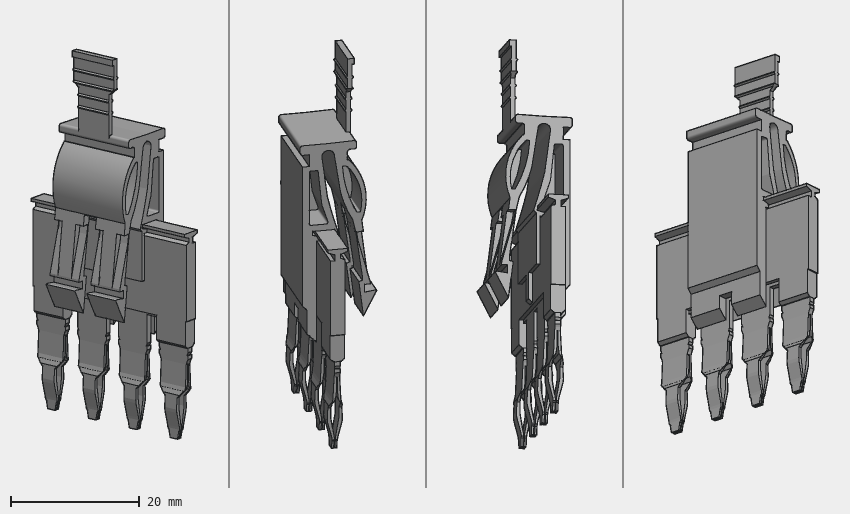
import cadquery as cq
PRONG_COUNT = 4
PITCH = 8.1
PRONG_WIDTH = 5.75
SHEET = 0.9
BURIED_STEM_WIDTH = 4.5
BARB_DEPTH = 0.215
SPRING_WIDTH = 5.0
PIN_WIDTH = 2.4
TIP_WIDTH = 1.45
LEAF_GAP = 0.2
BAR_BOTTOM = 19.1
BAR_TOP = 24.4
LEAF_TOP = 12.45

CARRIER_LENGTH = 30.5
CARRIER_BOTTOM = 19.65
LEG_BOTTOM = 15.2
BODY_BACK = 1.15
BODY_FRONT = -1.15
BODY_TOP = 32.1
HEAD_HALF = 1.6
HEAD_EDGE = 33.5
HEAD_TOP = 34.0

CLIP_WIDTH = PITCH + PRONG_WIDTH
LATCH_GAP = PITCH - PRONG_WIDTH
LATCH_GAP_TOP = 35.0
ARM_SLOT_MIDDLE = -2.75
LIP_BACK = 3.95
LIP_FRONT = -5.05
LIP_ROUND = 0.4
TOP = 48.4
TOP_FRONT = 48.5
CAP_BOTTOM = 46.8
CAP_BOTTOM_FRONT = 47.05
CAP_RECESS = 47.3
NECK_BACK = 2.5
NECK_FRONT = -3.6
NECK_ROUND = 0.35
BULGE_TOP = 45.4
PLATE_BACK = 3.6
SHOULDER = 44.85
PLATE_STEP = 2.85
PLATE_BOTTOM = 19.1
FRONT_WALL = -1.75
FRONT_WALL_BOTTOM = 24.8
TONGUE_WIDTH = 1.8
RIB_WIDTH = 2.7
LATCH_TOP = 33.25
LATCH_FOOT = 24.8
LATCH_FRONT = -7.25
POCKET_WEB = 1.2
POCKET_ROUND = 0.3

TAB_TOP = 61.0
TAB_WIDTH = 8.05
TAB_NECK_WIDTH = 6.1
TAB_BACK = -4.35
TAB_WIDE_BOTTOM = 56.05
TAB_NECK_TOP = 55.15
TAB_LIP = 0.35
TAB_LIP_HEIGHT = 1.0
RIDGE_HEIGHT = 0.25
RIDGE_TOP = 57.9
RIDGE_PITCH = 1.95
RIDGE_COUNT = 4

OVERLAP = 0.6
FAR = 61.0

prong_xs = [(i - (PRONG_COUNT - 1) / 2) * PITCH for i in range(PRONG_COUNT)]
latch_xs = [-PITCH / 2, PITCH / 2]


def block(x0, x1, y0, y1, z0, z1):
    """Box between the given limits along X, Y and Z."""
    return cq.Workplane("XY").box(x1 - x0, y1 - y0, z1 - z0, centered=False).translate((x0, y0, z0))


def side_prism(points, width, x=0.0):
    """Closed YZ outline extruded by `width`, centred on x."""
    prism = cq.Workplane("YZ").polyline(points).close().extrude(width / 2, both=True)
    return prism.translate((x, 0, 0))


def front_prism(points, depth):
    """Closed XZ outline extruded by `depth`, centred on Y = 0."""
    return cq.Workplane("XZ").polyline(points).close().extrude(depth / 2, both=True)


def prong_outline(x):
    """Prong silhouette in the XZ plane."""
    half = PRONG_WIDTH / 2
    notch = half - BARB_DEPTH
    spring = SPRING_WIDTH / 2
    pin = PIN_WIDTH / 2
    right = [
        (half, BAR_TOP),
        (half, 14.45), (notch, 14.0), (half, 14.0),
        (half, 13.35), (notch, 12.95), (spring, LEAF_TOP),
        (spring, 8.35), (pin, 6.95),
        (pin, 1.6), (1.0, 1.3), (TIP_WIDTH / 2, 0),
    ]
    left = [(-px, pz) for px, pz in reversed(right)]
    return [(x + px, pz) for px, pz in right + left]


def leaf_outline(side):
    """Bowed spring leaf in the YZ plane; side is +1 for the rear leaf, -1 for the front one."""
    slit = LEAF_GAP / 2
    outer = [
        (SHEET / 2, LEAF_TOP), (0.64, 8.8), (0.8, 8.25), (1.1, 7.45),
        (1.19, 5.6), (1.2, 5.05), (1.15, 4.5), (0.5, 2.0), (0.4, 1.6), (0.4, 0),
    ]
    inner = [
        (slit, 0), (slit, 1.95), (0.64, 5.25), (0.64, 8.1), (0.25, 8.8), (slit, 10.0), (slit, LEAF_TOP),
    ]
    return [(side * y, z) for y, z in outer + inner]


def narrow_stem(prong, x):
    """Narrows the stretch of an outer prong that the carrier's leg encloses."""
    stem = BURIED_STEM_WIDTH / 2
    for x0, x1 in [(x - PRONG_WIDTH, x - stem), (x + stem, x + PRONG_WIDTH)]:
        prong = prong.cut(block(x0, x1, -FAR, FAR, LEG_BOTTOM, BAR_TOP))
    return prong


def make_contact():
    blade = block(-FAR, FAR, -SHEET / 2, SHEET / 2, LEAF_TOP, BAR_TOP)
    section = blade.union(side_prism(leaf_outline(1), 2 * FAR)).union(side_prism(leaf_outline(-1), 2 * FAR))
    bar_end = prong_xs[-1]
    comb = block(-bar_end, bar_end, -FAR, FAR, BAR_BOTTOM, BAR_TOP)
    for x in prong_xs:
        prong = front_prism(prong_outline(x), 2 * FAR)
        if x in (prong_xs[0], prong_xs[-1]):
            prong = narrow_stem(prong, x)
        comb = comb.union(prong)
    return comb.intersect(section)


def make_carrier(contact):
    neck = SHEET / 2
    foot = 0.6
    outline = [
        (HEAD_HALF, HEAD_TOP), (HEAD_HALF, HEAD_EDGE), (neck, 33.05),
        (neck, BODY_TOP), (BODY_BACK, BODY_TOP), (BODY_BACK, 15.7), (foot, LEG_BOTTOM),
        (-foot, LEG_BOTTOM), (BODY_FRONT, 15.7), (BODY_FRONT, BODY_TOP), (-neck, 32.45),
        (-neck, 33.05), (-HEAD_HALF, HEAD_EDGE), (-HEAD_HALF, HEAD_TOP),
    ]
    carrier = side_prism(outline, CARRIER_LENGTH)
    leg_inside = prong_xs[-1] - PRONG_WIDTH / 2
    leg_outside = prong_xs[-1] + PRONG_WIDTH / 2
    for x0, x1 in [(-FAR, -leg_outside), (-leg_inside, leg_inside), (leg_outside, FAR)]:
        carrier = carrier.cut(block(x0, x1, -FAR, FAR, 0, CARRIER_BOTTOM))
    return carrier.cut(contact)


def clip_frame():
    """Back plate, carrier cavity, front wall and latch arm as one extruded section."""
    neck = SHEET / 2
    cavity_back = 1.35
    return (
        cq.Workplane("YZ")
        .moveTo(NECK_BACK, CAP_BOTTOM + OVERLAP)
        .lineTo(NECK_BACK, SHOULDER)
        .lineTo(PLATE_BACK, SHOULDER)
        .lineTo(PLATE_BACK, 21.7)
        .lineTo(PLATE_STEP, 20.9)
        .lineTo(PLATE_STEP, 16.95)
        .lineTo(cavity_back, 15.5)
        .lineTo(cavity_back, 32.35)
        .lineTo(0.75, 32.35)
        .lineTo(0.75, 33.0)
        .lineTo(1.95, 33.3)
        .lineTo(1.95, HEAD_TOP)
        .lineTo(-HEAD_HALF, HEAD_TOP)
        .lineTo(-HEAD_HALF, 33.3)
        .lineTo(-neck, 33.0)
        .lineTo(-neck, 32.45)
        .lineTo(BODY_FRONT, 32.45)
        .lineTo(BODY_FRONT, 20.1)
        .lineTo(FRONT_WALL, 20.6)
        .lineTo(FRONT_WALL, 32.9)
        .lineTo(-2.2, 33.3)
        .threePointArc((-1.2, 36.5), (-0.4, 39.5))
        .lineTo(0.5, 46.25)
        .threePointArc((-0.55, 47.2), (-1.5, 46.25))
        .lineTo(-2.5, 40.1)
        .threePointArc((-3.3, 37.65), (-4.45, 35.3))
        .lineTo(-4.95, 33.2)
        .lineTo(-6.0, 25.85)
        .lineTo(-6.0, 25.15)
        .lineTo(-5.4, 24.95)
        .lineTo(-6.15, 19.15)
        .lineTo(-8.2, 23.0)
        .lineTo(-8.3, 23.25)
        .lineTo(-7.95, 23.3)
        .lineTo(-6.35, 23.1)
        .lineTo(-6.35, 24.4)
        .lineTo(LATCH_FRONT, 24.4)
        .lineTo(LATCH_FRONT, LATCH_FOOT)
        .lineTo(-5.9, 35.15)
        .threePointArc((-6.2, 41.35), (-3.8, BULGE_TOP))
        .lineTo(NECK_FRONT, BULGE_TOP)
        .lineTo(NECK_FRONT, CAP_BOTTOM_FRONT - NECK_ROUND)
        .radiusArc((NECK_FRONT - NECK_ROUND, CAP_BOTTOM_FRONT), -NECK_ROUND)
        .lineTo(NECK_FRONT - NECK_ROUND, CAP_BOTTOM_FRONT + OVERLAP)
        .close()
        .extrude(CLIP_WIDTH / 2, both=True)
    )


def clip_cap():
    outline = [
        (LIP_BACK, CAP_BOTTOM), (LIP_BACK, TOP), (-0.5, TOP),
        (LIP_FRONT, TOP_FRONT), (LIP_FRONT, CAP_BOTTOM_FRONT),
        (-1.2, CAP_RECESS), (0.1, CAP_RECESS), (1.2, CAP_BOTTOM),
    ]
    cap = side_prism(outline, CLIP_WIDTH)
    return cap.edges("|X").edges("<Y or >Y").fillet(LIP_ROUND)


def pocket_shapes():
    """Full-width prisms of the tapered pocket in the back plate and the lens pocket in the arm."""
    taper = side_prism([(2.5, 44.05), (1.1, 44.05), (0.5, 38.25), (-0.6, 35.0), (2.5, 35.0)], CLIP_WIDTH)
    lens = (
        cq.Workplane("YZ")
        .moveTo(-2.8, 44.4)
        .threePointArc((-3.55, 40.2), (-5.1, 36.55))
        .lineTo(-5.7, 36.55)
        .threePointArc((-5.55, 40.8), (-3.35, 44.4))
        .close()
        .extrude(CLIP_WIDTH / 2, both=True)
    )
    return [taper.edges("|X").fillet(POCKET_ROUND), lens.edges("|X").fillet(POCKET_ROUND / 2)]


def cut_pockets(clip):
    web = block(-POCKET_WEB / 2, POCKET_WEB / 2, -FAR, FAR, -FAR, FAR)
    for shape in pocket_shapes():
        clip = clip.cut(shape.cut(web))
    return clip


def cut_latch(clip):
    """Splits the arm into two latch legs and leaves a rib on each."""
    gap = LATCH_GAP / 2
    clip = clip.cut(block(-gap, gap, -FAR, ARM_SLOT_MIDDLE, 0, LATCH_GAP_TOP))
    recess = [
        (LATCH_FRONT - OVERLAP, LATCH_TOP), (-5.05, LATCH_TOP), (-5.3, 31.7),
        (LATCH_FRONT, LATCH_FOOT), (LATCH_FRONT - OVERLAP, LATCH_FOOT),
    ]
    side_width = (PRONG_WIDTH - RIB_WIDTH) / 2
    for x in latch_xs:
        for side in (-1, 1):
            clip = clip.cut(side_prism(recess, side_width, x + side * (RIB_WIDTH + side_width) / 2))
    return clip


def trim_plates(clip):
    """Leaves a tongue below the front wall and two legs below the back plate."""
    edge = CLIP_WIDTH / 2
    tongue = TONGUE_WIDTH / 2
    for x0, x1 in [(-edge, -tongue), (tongue, edge)]:
        clip = clip.cut(block(x0, x1, FRONT_WALL, BODY_FRONT, 0, FRONT_WALL_BOTTOM))
    gap = LATCH_GAP / 2
    return clip.cut(block(-gap, gap, 0, PLATE_BACK, 0, PLATE_BOTTOM))


def label_tab():
    wide = TAB_WIDTH / 2
    neck = TAB_NECK_WIDTH / 2
    base = TOP - OVERLAP
    lip_bottom = TAB_TOP - TAB_LIP_HEIGHT
    outline = [
        (-neck, base), (-neck, TAB_NECK_TOP), (-wide, TAB_WIDE_BOTTOM), (-wide, TAB_TOP),
        (wide, TAB_TOP), (wide, TAB_WIDE_BOTTOM), (neck, TAB_NECK_TOP), (neck, base),
    ]
    section = block(-wide, wide, LIP_FRONT, TAB_BACK, base, TAB_TOP)
    section = section.union(block(-wide, wide, LIP_FRONT - TAB_LIP, LIP_FRONT, lip_bottom, TAB_TOP))
    middle = (LIP_FRONT + TAB_BACK) / 2
    reach = (TAB_BACK - LIP_FRONT) / 2 + RIDGE_HEIGHT
    for i in range(RIDGE_COUNT):
        z = RIDGE_TOP - i * RIDGE_PITCH
        ridge = [(middle - reach, z), (middle, z + reach), (middle + reach, z), (middle, z - reach)]
        section = section.union(side_prism(ridge, TAB_WIDTH))
    return section.intersect(front_prism(outline, 2 * FAR))


def make_clip():
    clip = clip_frame().union(clip_cap())
    clip = cut_pockets(clip)
    clip = cut_latch(clip)
    clip = trim_plates(clip)
    return clip.union(label_tab())


contact = make_contact()
carrier = make_carrier(contact)
clip = make_clip()

result = cq.Compound.makeCompound([contact.val(), carrier.val(), clip.val()])